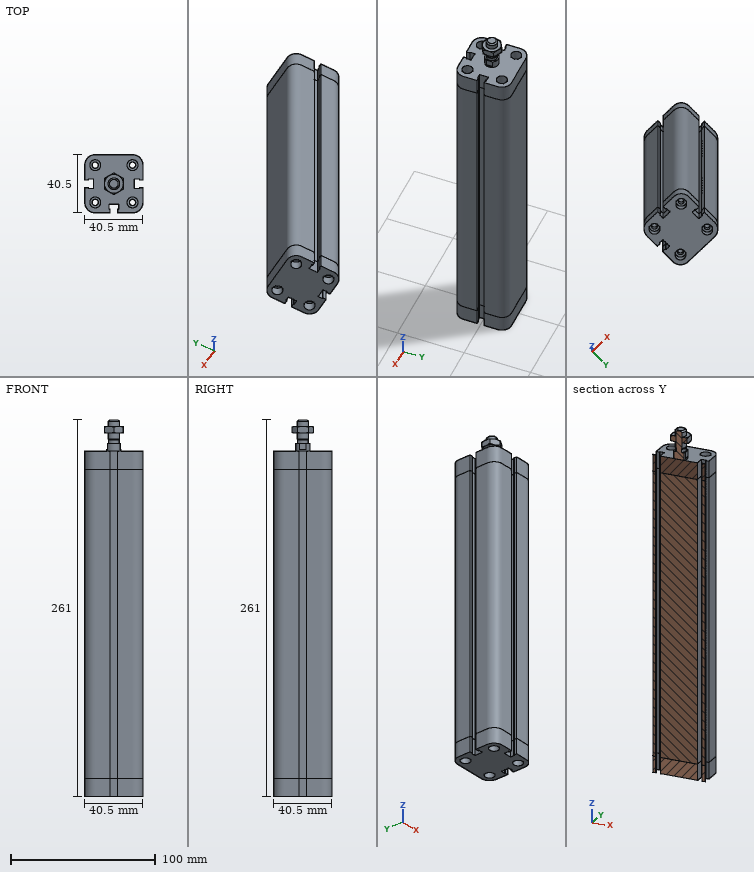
import cadquery as cq
import math

TOTAL_HEIGHT = 261.0
SIDE = 40.5
BODY_HEIGHT = 239.3
CAP_HEIGHT = 12.5
TUBE_HEIGHT = BODY_HEIGHT - 2 * CAP_HEIGHT

CORNER_RADIUS = 7.3
HOLE_SPACING = SIDE - 2 * CORNER_RADIUS
HOLE_DIAMETER = 4.2
COUNTERBORE_DIAMETER = 7.5
COUNTERBORE_DEPTH = 7.5

SLOT_MOUTH = 5.2
SLOT_INNER_WIDTH = 6.5
SLOT_DEPTH = 6.0
SLOT_LIP = 2.5
SLOT_ANGLES = (-90, 0, 90)

ROD_DIAMETER = 10.0
ROD_ACROSS_FLATS = 9.0
THREAD_DIAMETER = 8.0
NECK_DIAMETER = 7.5
THREAD_TIP_CHAMFER = 1.0
THREAD_ROOT_CHAMFER_HEIGHT = 0.8
THREAD_ROOT_CHAMFER_WIDTH = (THREAD_DIAMETER - NECK_DIAMETER) / 2
FLATS_BOTTOM = BODY_HEIGHT + 1.0
NECK_BOTTOM = BODY_HEIGHT + 5.5
THREAD_BOTTOM = BODY_HEIGHT + 7.8

NUT_ACROSS_FLATS = 13.0
NUT_ACROSS_CORNERS = NUT_ACROSS_FLATS / math.cos(math.radians(30))
NUT_HEIGHT = 4.7
NUT_BOTTOM = BODY_HEIGHT + 12.5
NUT_CHAMFER_ANGLE = 30


def cylinder(diameter, bottom, top):
    return cq.Workplane("XY").workplane(offset=bottom).circle(diameter / 2).extrude(top - bottom)


def slot_cutter(bottom, height):
    """T-slot on the -Y side: a narrow mouth opening into a wider channel."""
    face_y = -SIDE / 2
    floor_y = face_y + SLOT_DEPTH
    lip_y = face_y + SLOT_LIP
    half_mouth = SLOT_MOUTH / 2
    half_inner = SLOT_INNER_WIDTH / 2
    return (
        cq.Workplane("XY")
        .workplane(offset=bottom)
        .polyline([
            (-half_mouth, face_y),
            (-half_mouth, lip_y),
            (-half_inner, lip_y),
            (-half_inner, floor_y),
            (half_inner, floor_y),
            (half_inner, lip_y),
            (half_mouth, lip_y),
            (half_mouth, face_y),
        ])
        .close()
        .extrude(height)
    )


def corner_cylinders(diameter, bottom, height):
    """One cylinder on the axis of each corner hole."""
    return (
        cq.Workplane("XY")
        .workplane(offset=bottom)
        .rect(HOLE_SPACING, HOLE_SPACING, forConstruction=True)
        .vertices()
        .circle(diameter / 2)
        .extrude(height)
    )


def profile_block(bottom, height):
    """Rounded square with slots on three sides and a through hole in each corner."""
    block = (
        cq.Workplane("XY")
        .workplane(offset=bottom)
        .rect(SIDE, SIDE)
        .extrude(height)
        .edges("|Z")
        .fillet(CORNER_RADIUS)
    )
    for angle in SLOT_ANGLES:
        block = block.cut(slot_cutter(bottom, height).rotate((0, 0, 0), (0, 0, 1), angle))
    return block.cut(corner_cylinders(HOLE_DIAMETER, bottom, height))


def end_cap(bottom, counterbore_bottom):
    """Cap with the tube's profile and a counterbore around each screw hole."""
    counterbores = corner_cylinders(COUNTERBORE_DIAMETER, counterbore_bottom, COUNTERBORE_DEPTH)
    return profile_block(bottom, CAP_HEIGHT).cut(counterbores)


def piston_rod():
    """Rod end with wrench flats, an undercut neck and a chamfered thread."""
    flats = (
        cq.Workplane("XY")
        .workplane(offset=FLATS_BOTTOM)
        .rect(ROD_ACROSS_FLATS, ROD_DIAMETER)
        .extrude(NECK_BOTTOM - FLATS_BOTTOM)
    )
    base = cylinder(ROD_DIAMETER, BODY_HEIGHT, FLATS_BOTTOM)
    wrench_section = cylinder(ROD_DIAMETER, FLATS_BOTTOM, NECK_BOTTOM).intersect(flats)
    neck = cylinder(NECK_DIAMETER, NECK_BOTTOM, THREAD_BOTTOM)
    thread = (
        cylinder(THREAD_DIAMETER, THREAD_BOTTOM, TOTAL_HEIGHT)
        .faces(">Z")
        .chamfer(THREAD_TIP_CHAMFER)
        .faces("<Z")
        .chamfer(THREAD_ROOT_CHAMFER_HEIGHT, THREAD_ROOT_CHAMFER_WIDTH)
    )
    return base.union(wrench_section).union(neck).union(thread)


def lock_nut():
    """Hexagon nut whose corners are chamfered at both ends."""
    hexagon = (
        cq.Workplane("XY")
        .workplane(offset=NUT_BOTTOM)
        .polygon(6, NUT_ACROSS_CORNERS)
        .extrude(NUT_HEIGHT)
        .rotate((0, 0, 0), (0, 0, 1), 90)
    )
    chamfer_width = (NUT_ACROSS_CORNERS - NUT_ACROSS_FLATS) / 2
    chamfer_height = chamfer_width * math.tan(math.radians(NUT_CHAMFER_ANGLE))
    envelope = (
        cylinder(NUT_ACROSS_CORNERS, NUT_BOTTOM, NUT_BOTTOM + NUT_HEIGHT)
        .faces("<Z or >Z")
        .chamfer(chamfer_height, chamfer_width)
    )
    bore = cylinder(THREAD_DIAMETER, NUT_BOTTOM, NUT_BOTTOM + NUT_HEIGHT)
    return hexagon.intersect(envelope).cut(bore)


bottom_cap = end_cap(0, 0)
tube = profile_block(CAP_HEIGHT, TUBE_HEIGHT)
top_cap = end_cap(BODY_HEIGHT - CAP_HEIGHT, BODY_HEIGHT - COUNTERBORE_DEPTH)
rod = piston_rod()
nut = lock_nut()

result = cq.Compound.makeCompound([bottom_cap.val(), tube.val(), top_cap.val(), rod.val(), nut.val()])